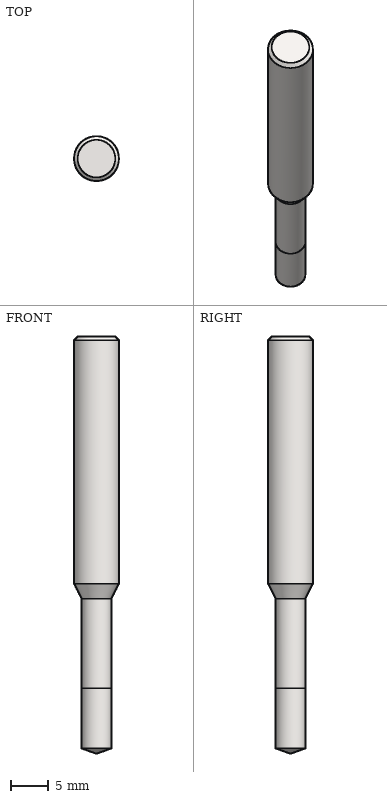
import cadquery as cq

total_length = 55.75
shank_diameter = 6.0
neck_diameter = 4.0
tip_height = 0.7
cutter_length = 8.75
taper_bottom = 20.75
taper_height = 2.0
top_chamfer = 0.5

shank_radius = shank_diameter / 2
neck_radius = neck_diameter / 2
taper_top = taper_bottom + taper_height


def make_cutter():
    """Cylindrical cutting end with a conical point."""
    profile = [
        (0, 0),
        (neck_radius, tip_height),
        (neck_radius, cutter_length),
        (0, cutter_length),
    ]
    return cq.Workplane("XZ").polyline(profile).close().revolve(360, (0, 0), (0, 1))


def make_shank():
    """Neck, conical taper and chamfered shank, resting on the cutter's flat end."""
    profile = [
        (0, cutter_length),
        (neck_radius, cutter_length),
        (neck_radius, taper_bottom),
        (shank_radius, taper_top),
        (shank_radius, total_length - top_chamfer),
        (shank_radius - top_chamfer, total_length),
        (0, total_length),
    ]
    return cq.Workplane("XZ").polyline(profile).close().revolve(360, (0, 0), (0, 1))


cutter = make_cutter()
shank = make_shank()

result = cq.Compound.makeCompound([cutter.val(), shank.val()])